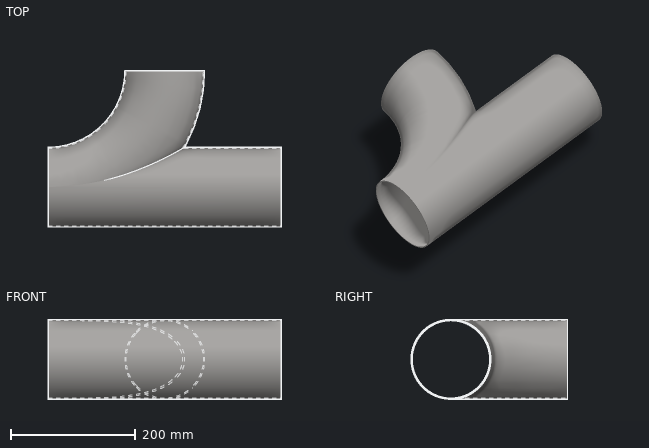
import cadquery as cq

length = 376.0
outer_diameter = 129.0
inner_diameter = 125.0
bend_radius = 188.0


def pipe_section():
    """Ring profile on the shared inlet face, centred on the run axis."""
    return cq.Workplane("YZ").circle(outer_diameter / 2).circle(inner_diameter / 2)


def straight_run():
    """Straight pipe along X."""
    return pipe_section().extrude(length)


def elbow():
    """Quarter bend that leaves the inlet along +X and turns to +Y."""
    return pipe_section().revolve(90, (bend_radius, 0, 0), (bend_radius, 1, 0))


def elbow_region():
    """Block on the elbow side of the seam between the two pipes.

    A cylinder and a torus of equal tube radius that share one end circle meet
    on the parabola y = x^2 / (4 * bend_radius), whatever that tube radius is.
    The same parabolic wall therefore splits both the outsides and the bores.
    """
    seam_end_y = length**2 / (4 * bend_radius)
    far_y = max(seam_end_y, bend_radius) + outer_diameter
    return (
        cq.Workplane("XY")
        .moveTo(0, 0)
        .bezier([(0, 0), (length / 2, 0), (length, seam_end_y)])
        .lineTo(length, far_y)
        .lineTo(0, far_y)
        .close()
        .extrude(outer_diameter, both=True)
    )


run_side = straight_run().cut(elbow_region())
branch_side = elbow().intersect(elbow_region())
result = run_side.union(branch_side)